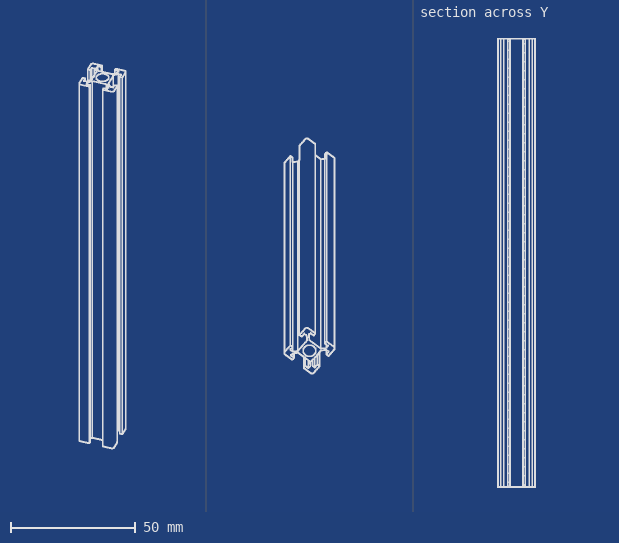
import cadquery as cq

length = 180.0
width = 15.0
corner_radius = 0.9
bore_diameter = 5.0
slot_opening = 5.8
lip_thickness = 1.17
cavity_width = 9.0
core_width = 7.2
web_thickness = 0.9

half_width = width / 2
half_opening = slot_opening / 2
half_cavity = cavity_width / 2
half_core = core_width / 2
lip_inner = half_width - lip_thickness
web_offset = web_thickness / 2 * 2**0.5


def slot_cutter():
    """T-slot on the +Y side: opening, cavity and flanks along the webs."""
    right_side = [
        (half_core - web_offset, half_core),
        (half_cavity, half_cavity + web_offset),
        (half_cavity, lip_inner),
        (half_opening, lip_inner),
        (half_opening, half_width),
    ]
    left_side = [(-x, y) for x, y in reversed(right_side)]
    return cq.Workplane("XY").polyline(right_side + left_side).close().extrude(length)


bar = cq.Workplane("XY").rect(width, width).extrude(length)
bar = bar.edges("|Z").fillet(corner_radius)

for side in range(4):
    bar = bar.cut(slot_cutter().rotate((0, 0, 0), (0, 0, 1), 90 * side))

bore = cq.Workplane("XY").circle(bore_diameter / 2).extrude(length)
result = bar.cut(bore).translate((0, 0, -length / 2))